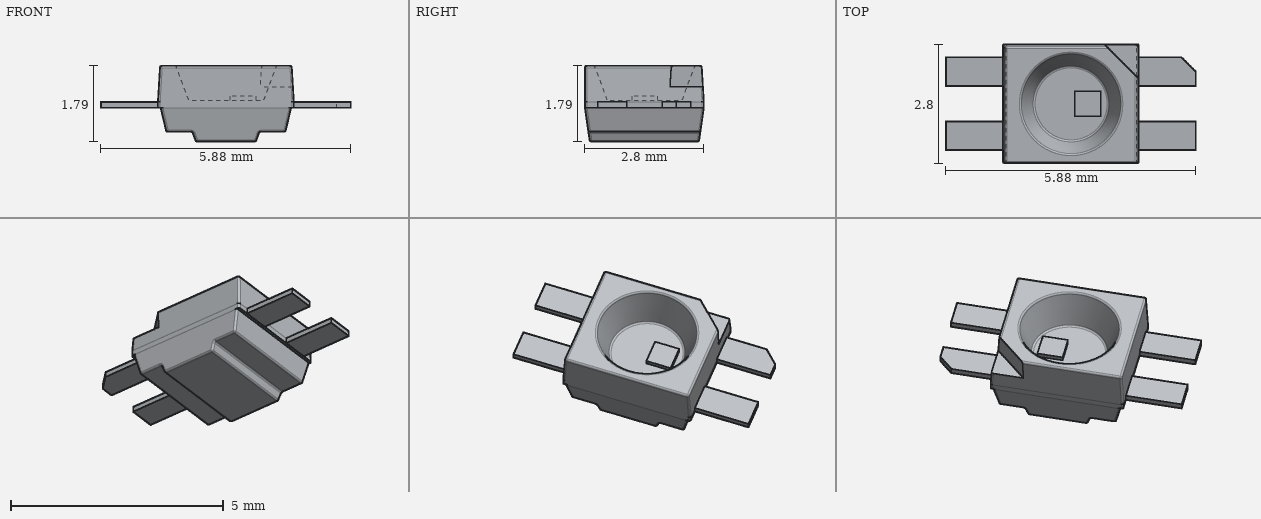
import cadquery as cq
import math

span_x = 5.88
housing_x = 3.2
housing_y = 2.8
top_z = 0.99
bottom_z = -0.795
edge_radius = 0.05

lead_thickness = 0.14
upper_draft = 3.4

lower_x = 3.07
wing_z = -0.565
wing_draft = 13.4
foot_x = 1.41
foot_draft = 20.0
end_draft = 8.2

notch_leg = 0.82
notch_floor_z = top_z / 2

cup_floor_z = 0.18
cup_top_radius = 1.18
cup_floor_radius = 0.88
chip_x = 0.605
chip_y = 0.595
chip_height = 0.1
chip_center_x = 0.4

lead_width = 0.675
lead_pitch = 1.505
lead_chamfer = 0.34

half_x = housing_x / 2
half_y = housing_y / 2


def run(height, degrees):
    """Sideways shift of a wall drafted by an angle over a height."""
    return abs(height) * math.tan(math.radians(degrees))


def straight_band():
    """Vertical-walled slab on the parting plane, as high as the leads."""
    slab = cq.Workplane("XY").box(housing_x, housing_y, lead_thickness, centered=(True, True, False))
    return slab.edges("|Z").fillet(edge_radius)


def upper_housing():
    """Drafted block on the straight band, rounded at its corners and top."""
    inset = run(top_z - lead_thickness, upper_draft)
    top_half = half_x - inset
    front_outline = [
        (-half_x, lead_thickness),
        (half_x, lead_thickness),
        (top_half, top_z),
        (-top_half, top_z),
    ]
    end_outline = [
        (-half_y, lead_thickness),
        (half_y, lead_thickness),
        (half_y - inset, top_z),
        (-half_y, top_z),
    ]
    drafted_x = cq.Workplane("XZ").polyline(front_outline).close().extrude(half_y, both=True)
    drafted_y = cq.Workplane("YZ").polyline(end_outline).close().extrude(half_x, both=True)
    block = drafted_x.intersect(drafted_y).edges("not <Z").fillet(edge_radius)
    return block.union(straight_band())


def lower_housing():
    """Stepped and drafted underside, rounded on every edge below the parting plane."""
    wing_half = lower_x / 2 - run(wing_z, wing_draft)
    foot_half = foot_x / 2
    foot_root_half = foot_half + run(bottom_z - wing_z, foot_draft)
    right_half = [
        (lower_x / 2, 0),
        (wing_half, wing_z),
        (foot_root_half, wing_z),
        (foot_half, bottom_z),
    ]
    left_half = [(-x, z) for x, z in reversed(right_half)]
    profile = cq.Workplane("XZ").polyline(right_half + left_half).close().extrude(half_y, both=True)

    end_half = half_y - run(bottom_z, end_draft)
    end_limits = (
        cq.Workplane("YZ")
        .polyline([(half_y, 0), (end_half, bottom_z), (-end_half, bottom_z), (-half_y, 0)])
        .close()
        .extrude(half_x, both=True)
    )
    block = profile.intersect(end_limits)
    below_parting = cq.selectors.BoxSelector(
        (-housing_x, -housing_y, bottom_z * 2),
        (housing_x, housing_y, -edge_radius),
    )
    return block.edges(below_parting).fillet(edge_radius)


def corner_notch():
    """Triangular cutter for the pin 1 corner."""
    return (
        cq.Workplane("XY", origin=(0, 0, notch_floor_z))
        .polyline([(half_x, half_y), (half_x - notch_leg, half_y), (half_x, half_y - notch_leg)])
        .close()
        .extrude(top_z - notch_floor_z)
    )


def reflector_cup():
    """Conical cup cutter with a rounded floor edge."""
    return (
        cq.Workplane("XY", origin=(0, 0, cup_floor_z))
        .circle(cup_floor_radius)
        .workplane(offset=top_z - cup_floor_z)
        .circle(cup_top_radius)
        .loft()
        .faces("<Z")
        .edges()
        .fillet(edge_radius)
    )


def make_housing():
    """Housing with its cup, notch and the raised chip."""
    body = upper_housing().union(lower_housing())
    body = body.cut(reflector_cup())
    body = body.faces(">Z").edges("%CIRCLE").fillet(edge_radius)
    body = body.cut(corner_notch())
    chip = (
        cq.Workplane("XY", origin=(chip_center_x, 0, cup_floor_z))
        .box(chip_x, chip_y, chip_height, centered=(True, True, False))
    )
    return body.union(chip)


def make_lead(side_x, side_y):
    """Flat lead butting against the straight band of the housing."""
    length = span_x / 2 - half_x
    lead = (
        cq.Workplane("XY", origin=(side_x * (half_x + length / 2), side_y * lead_pitch / 2, 0))
        .box(length, lead_width, lead_thickness, centered=(True, True, False))
    )
    if side_x > 0 and side_y > 0:
        lead = lead.edges("|Z and >X and >Y").chamfer(lead_chamfer)
    return lead


housing = make_housing()
leads = []
for side_x in (-1, 1):
    for side_y in (-1, 1):
        leads.append(make_lead(side_x, side_y).val())

result = cq.Compound.makeCompound([housing.val(), *leads])